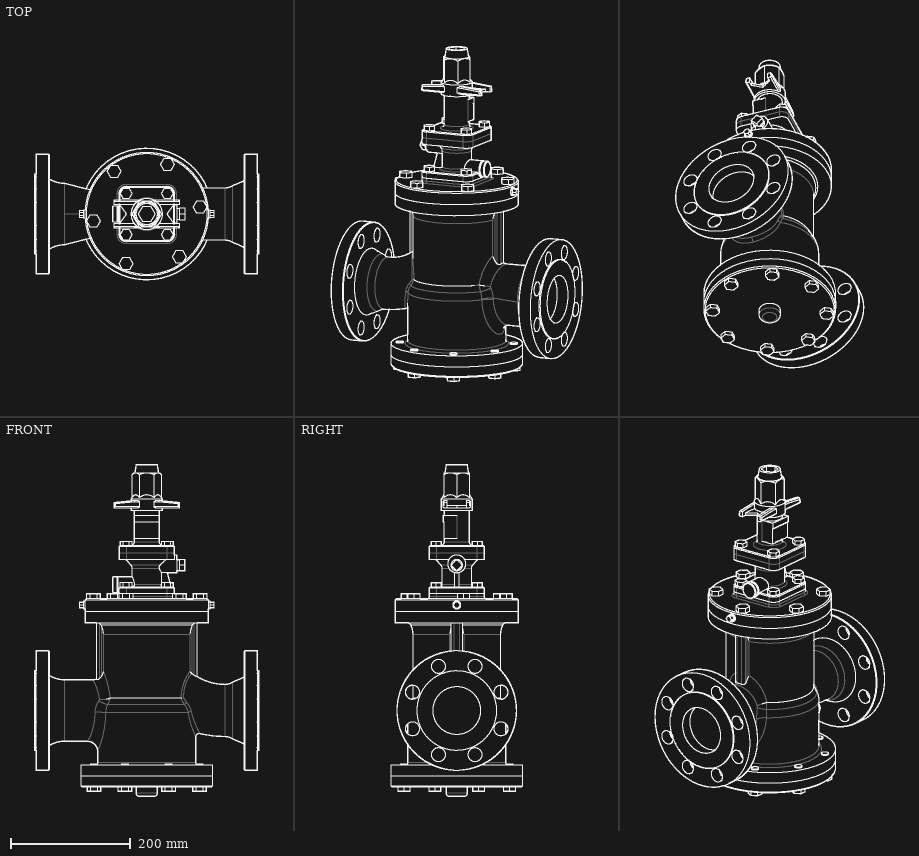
import cadquery as cq
import math

total_height = 554.0
port_span = 374.0
port_height = 143.5

cover_bottom = 15.5
bottom_joint = 34.0
bottom_flange_top = 52.5
top_flange_bottom = 290.0
top_joint = 308.5
top_cover_top = 330.0
pilot_joint = 338.5
pilot_base_top = 349.5

bottom_flange_radius = 220.0 / 2
top_flange_radius = 206.0 / 2
lower_barrel_radius = 82.0
upper_barrel_radius = 147.0 / 2
flange_chamfer = 2.0
barrel_foot_fillet = 4.5

port_flange_radius = 200.0 / 2
port_flange_thickness = 22.0
raised_face_radius = 66.5
raised_face_height = 2.0
port_bore_radius = 80.0 / 2
port_bore_depth = 20.0
port_bolt_circle_radius = 80.0
port_bolt_hole = 23.0
port_bolt_count = 8
port_chamfer = 1.0
inlet_seam_fillet = 16.5
outlet_seam_fillet = 5.5
flange_back = port_span / 2 - raised_face_height - port_flange_thickness

large_hex = 23.0
small_hex = 20.0
large_head_height = 8.5
small_head_height = 7.0
bottom_bolt_count = 8
bottom_bolt_circle_radius = 95.5
bottom_head_height = 7.0
stud_diameter = 12.0
stud_projection = 1.5
top_bolt_count = 6
top_bolt_circle_radius = 90.0
top_bolt_start_angle = 7.4

square_side = 92.5
square_corner = 12.0
square_edge_chamfer = 1.5
square_bolt_offset = 34.5
pad_foot_fillet = 3.5
column_radius = 49.5 / 2
column_foot_fillet = 4.0
neck_bottom = 380.5
neck_cone_start = (27.0, 386.5)
neck_top_radius = 35.0
collar_bottom = 395.5
collar_joint = 406.5
collar_top = 419.0
housing_radius = 42.0 / 2
housing_foot_radius = 55.0 / 2
ring_radius = 52.0 / 2
ring_bottom = 477.0
ring_top = 497.0
cap_hex = 49.5


def revolved(profile):
    """Revolve a closed (radius, height) outline about the Z axis."""
    return profile.close().revolve(360, (0, 0, 0), (0, 1, 0))


def disc(radius, bottom, top):
    return cq.Workplane("XY").workplane(offset=bottom).circle(radius).extrude(top - bottom)


def hex_prism(corners, bottom, height):
    return cq.Workplane("XY").workplane(offset=bottom).polygon(6, corners).extrude(height)


def circle_points(count, radius, start_angle):
    """Points evenly spaced on a circle."""
    angles = [math.radians(start_angle + 360 * i / count) for i in range(count)]
    return [(radius * math.cos(a), radius * math.sin(a)) for a in angles]


def add_hex_heads(body, points, corners, bottom, height):
    for x, y in points:
        body = body.union(hex_prism(corners, bottom, height).translate((x, y, 0)))
    return body


def square_plate(bottom, top):
    plate = cq.Workplane("XY").workplane(offset=bottom).rect(square_side, square_side)
    return plate.extrude(top - bottom).edges("|Z").fillet(square_corner)


def x_cylinder(radius, start, end, height):
    """Cylinder along X between two X positions."""
    plane = cq.Workplane("YZ", origin=(start, 0, height))
    return plane.circle(radius).extrude(end - start)


def tangent_arc_radius(run, rise):
    """Radius of the arc that leaves a straight line and rises sideways over a run."""
    return (run**2 + rise**2) / (2 * rise)


bottom_bolt_points = circle_points(
    bottom_bolt_count, bottom_bolt_circle_radius, 180 / bottom_bolt_count
)
square_bolt_points = [
    (sx * square_bolt_offset, sy * square_bolt_offset) for sx in (-1, 1) for sy in (-1, 1)
]


def make_bottom_cover():
    plug_radius = 18.0
    plug_fillet = 5.5

    cover = disc(bottom_flange_radius, cover_bottom, bottom_joint)
    cover = cover.faces("<Z").chamfer(flange_chamfer)
    plug = disc(plug_radius, 0, cover_bottom).faces("<Z").edges().fillet(plug_fillet)
    cover = cover.union(plug)
    head_bottom = cover_bottom - bottom_head_height
    return add_hex_heads(cover, bottom_bolt_points, large_hex, head_bottom, bottom_head_height)


def make_barrel():
    shoulder_bottom = 140.0
    shoulder_middle = (78.0, 153.5)
    shoulder_top = 164.0
    flare_bottom = 270.5
    flare_top = (77.0, 286.5)
    flare_root_radius = 80.5

    foot_top = bottom_flange_top + barrel_foot_fillet
    outline = (
        cq.Workplane("XZ")
        .moveTo(0, bottom_joint)
        .lineTo(bottom_flange_radius, bottom_joint)
        .lineTo(bottom_flange_radius, bottom_flange_top)
        .lineTo(lower_barrel_radius + barrel_foot_fillet, bottom_flange_top)
        .radiusArc((lower_barrel_radius, foot_top), barrel_foot_fillet)
        .lineTo(lower_barrel_radius, shoulder_bottom)
        .tangentArcPoint(shoulder_middle, relative=False)
        .tangentArcPoint((upper_barrel_radius, shoulder_top), relative=False)
        .lineTo(upper_barrel_radius, flare_bottom)
        .tangentArcPoint(flare_top, relative=False)
        .lineTo(flare_root_radius, top_flange_bottom)
        .lineTo(top_flange_radius, top_flange_bottom)
        .lineTo(top_flange_radius, top_joint)
        .lineTo(0, top_joint)
    )
    return revolved(outline)


def make_side_ribs():
    """Vertical ribs on the barrel, above both ports."""
    rib_reach = 84.0
    rib_width = 19.5
    rib_bottom = 183.0
    rib_edge_fillet = 5.0
    rib_root_fillet = 3.0

    height = top_flange_bottom - rib_bottom
    ribs = cq.Workplane("XY").workplane(offset=rib_bottom).rect(2 * rib_reach, rib_width)
    ribs = ribs.extrude(height).edges("|Z").fillet(rib_edge_fillet)
    ribbed_barrel = disc(upper_barrel_radius, rib_bottom, top_flange_bottom).union(ribs)
    for side in (-1, 1):
        root = cq.selectors.BoxSelector(
            (side * (upper_barrel_radius - rib_root_fillet), -rib_width, rib_bottom),
            (side * upper_barrel_radius, rib_width, top_flange_bottom),
        )
        ribbed_barrel = ribbed_barrel.edges("|Z").edges(root).fillet(rib_root_fillet)
    return ribbed_barrel


def make_inlet_neck():
    """Neck on the -X side: round at the flange, narrowing to an oval at the barrel."""
    root_radius = 59.0
    round_radius = 51.5
    round_x = 137.5
    inner_x = 55.5
    inner_half_width = 30.5

    flare_radius = tangent_arc_radius(flange_back - round_x, root_radius - round_radius)
    collar = (
        cq.Workplane("XZ", origin=(0, 0, port_height))
        .moveTo(-round_x, 0)
        .lineTo(-round_x, round_radius)
        .radiusArc((-flange_back, root_radius), flare_radius)
        .lineTo(-flange_back, 0)
        .close()
        .revolve(360, (0, 0, 0), (1, 0, 0))
    )
    neck = (
        cq.Workplane("YZ", origin=(-round_x, 0, port_height))
        .ellipse(round_radius, round_radius)
        .workplane(offset=round_x - inner_x)
        .ellipse(inner_half_width, round_radius)
        .loft(ruled=True)
    )
    return collar.union(neck)


def make_outlet_neck():
    """Neck on the +X side: an elbow that climbs into the barrel from the flange."""
    pipe_radius = 44.0
    bend_radius = 133.0
    bend_angle = 48.0
    bend_x = 131.0
    cone_start = (143.5, 47.5)
    root_radius = 56.0

    flare_radius = tangent_arc_radius(cone_start[0] - bend_x, cone_start[1] - pipe_radius)
    collar = (
        cq.Workplane("XZ", origin=(0, 0, port_height))
        .moveTo(bend_x, 0)
        .lineTo(bend_x, pipe_radius)
        .radiusArc(cone_start, -flare_radius)
        .lineTo(flange_back, root_radius)
        .lineTo(flange_back, 0)
        .close()
        .revolve(360, (0, 0, 0), (1, 0, 0))
    )
    elbow = (
        cq.Workplane("YZ", origin=(bend_x, 0, port_height))
        .circle(pipe_radius)
        .revolve(bend_angle, (0, bend_radius, 0), (1, bend_radius, 0))
    )
    return collar.union(elbow)


def neck_seam(side):
    """Selects the edges where the neck on one side (-1 or +1 along X) meets the barrel."""
    half_width = 61.0
    lowest = 77.5
    highest = 232.5
    nearest = 33.0
    farthest = 88.5

    return cq.selectors.BoxSelector(
        (side * nearest, -half_width, lowest),
        (side * farthest, half_width, highest),
        boundingbox=True,
    )


def make_port_flange():
    """Flange of the +X port."""
    face_x = port_span / 2 - raised_face_height
    flange = x_cylinder(port_flange_radius, flange_back, face_x, port_height)
    flange = flange.faces("<X").chamfer(port_chamfer)
    return flange.union(x_cylinder(raised_face_radius, face_x, port_span / 2, port_height))


def cut_port_holes(body, side):
    """Bolt holes and bore of the port on one side (-1 or +1 along X)."""
    inner_x = side * flange_back
    outer_x = side * port_span / 2
    for y, z in circle_points(port_bolt_count, port_bolt_circle_radius, 180 / port_bolt_count):
        hole = x_cylinder(port_bolt_hole / 2, inner_x, outer_x, port_height + z)
        body = body.cut(hole.translate((0, y, 0)))
    bore_end = side * (port_span / 2 - port_bore_depth)
    return body.cut(x_cylinder(port_bore_radius, bore_end, outer_x, port_height))


def make_main_body():
    body = make_barrel()
    body = body.union(make_inlet_neck()).edges(neck_seam(-1)).fillet(inlet_seam_fillet)
    body = body.union(make_outlet_neck()).edges(neck_seam(1)).fillet(outlet_seam_fillet)
    body = body.union(make_side_ribs())

    outlet_flange = make_port_flange()
    body = body.union(outlet_flange).union(outlet_flange.mirror("YZ"))
    for side in (-1, 1):
        body = cut_port_holes(body, side)

    for x, y in bottom_bolt_points:
        stud = disc(stud_diameter / 2, bottom_flange_top, bottom_flange_top + stud_projection)
        body = body.union(stud.translate((x, y, 0)))
    return body


def make_side_screw():
    """Small hex screw on the +X rim of the top cover."""
    screw_height = 319.5
    embedded_length = 5.5
    washer_radius = 6.5
    washer_end = 105.0
    head_end = 112.5
    head_corners = 11.0

    washer = x_cylinder(washer_radius, top_flange_radius - embedded_length, washer_end, screw_height)
    head = cq.Workplane("YZ", origin=(washer_end, 0, screw_height)).polygon(6, head_corners)
    return washer.union(head.extrude(head_end - washer_end))


def make_top_cover():
    cover = disc(top_flange_radius, top_joint, top_cover_top).faces(">Z").chamfer(flange_chamfer)
    cover = cover.union(square_plate(top_cover_top, pilot_joint))
    pad_foot = cq.selectors.BoxSelector(
        (-square_side, -square_side, top_cover_top - pad_foot_fillet),
        (square_side, square_side, top_cover_top + pad_foot_fillet),
        boundingbox=True,
    )
    cover = cover.edges(pad_foot).fillet(pad_foot_fillet)
    points = circle_points(top_bolt_count, top_bolt_circle_radius, top_bolt_start_angle)
    cover = add_hex_heads(cover, points, large_hex, top_cover_top, large_head_height)
    screw = make_side_screw()
    return cover.union(screw).union(screw.mirror("YZ"))


def make_pilot_column():
    foot_top = pilot_base_top + column_foot_fillet
    outline = (
        cq.Workplane("XZ")
        .moveTo(0, pilot_joint)
        .lineTo(column_radius + column_foot_fillet, pilot_joint)
        .lineTo(column_radius + column_foot_fillet, pilot_base_top)
        .radiusArc((column_radius, foot_top), column_foot_fillet)
        .lineTo(column_radius, neck_bottom)
        .tangentArcPoint(neck_cone_start, relative=False)
        .lineTo(neck_top_radius, collar_bottom)
        .lineTo(0, collar_bottom)
    )
    base = square_plate(pilot_joint, pilot_base_top).faces(">Z").chamfer(square_edge_chamfer)
    column = base.union(revolved(outline))
    column = column.union(square_plate(collar_bottom, collar_joint))
    return add_hex_heads(column, square_bolt_points, small_hex, pilot_base_top, small_head_height)


def make_pressure_tap():
    """Plugged boss on the +X side of the column, with a web below it."""
    boss_radius = 30.0 / 2
    boss_height = 388.5
    boss_end = 50.5
    collar_radius = 9.5
    plug_height = 386.0
    plug_start = 54.5
    plug_end = 63.5
    plug_diagonal = 19.5
    web_width = 8.5
    web_top_x = 30.5
    web_bottom_x = 41.0

    boss = x_cylinder(boss_radius, 0, boss_end, boss_height)
    collar = x_cylinder(collar_radius, boss_end, plug_start, plug_height)
    plug = cq.Workplane("YZ", origin=(plug_start, 0, plug_height)).polygon(4, plug_diagonal)
    web = (
        cq.Workplane("XZ")
        .polyline(
            [
                (0, pilot_base_top),
                (web_bottom_x, pilot_base_top),
                (web_top_x, boss_height),
                (0, boss_height),
            ]
        )
        .close()
        .extrude(web_width / 2, both=True)
    )
    return boss.union(collar).union(plug.extrude(plug_end - plug_start)).union(web)


def make_drain_tap():
    """Boss on the -X side of the column, closed by a round plug."""
    tap_height = 353.5
    tap_radius = 27.0 / 2
    boss_end = 47.5
    plug_end = 57.0
    plug_chamfer = 1.0
    groove_radius = 12.0
    groove_width = 1.0

    groove_end = boss_end + groove_width
    boss = x_cylinder(tap_radius, 0, -boss_end, tap_height)
    groove = x_cylinder(groove_radius, -boss_end, -groove_end, tap_height)
    plug = x_cylinder(tap_radius, -groove_end, -plug_end, tap_height).edges().chamfer(plug_chamfer)
    return boss.union(groove).union(plug)


def make_spring_housing():
    """Square flange and cylinder that carry the adjusting ring."""
    foot_fillet = housing_foot_radius - housing_radius
    outline = (
        cq.Workplane("XZ")
        .moveTo(0, collar_joint)
        .lineTo(housing_foot_radius, collar_joint)
        .lineTo(housing_foot_radius, collar_top)
        .radiusArc((housing_radius, collar_top + foot_fillet), foot_fillet)
        .lineTo(housing_radius, ring_bottom)
        .lineTo(0, ring_bottom)
    )
    flange = square_plate(collar_joint, collar_top).faces(">Z").chamfer(square_edge_chamfer)
    housing = flange.union(revolved(outline))
    return add_hex_heads(housing, square_bolt_points, small_hex, collar_top, small_head_height)


def make_name_block():
    """Square block on the -Y side of the housing, with a thicker band on top."""
    block_depth = 21.5
    block_bottom = 431.0
    band_depth = 22.5
    band_bottom = 458.0
    band_top = 468.5
    width = 2 * housing_radius

    block = cq.Workplane("XY").box(
        width, block_depth, band_bottom - block_bottom, centered=(True, False, False)
    )
    band = cq.Workplane("XY").box(
        width, band_depth, band_top - band_bottom, centered=(True, False, False)
    )
    block = block.translate((0, -block_depth, block_bottom))
    return block.union(band.translate((0, -band_depth, band_bottom)))


def make_handle():
    """Adjusting ring with two notched wings, each stiffened by a pair of tapered arms."""
    wing_bottom = 481.5
    wing_top = 486.0
    wing_reach = 54.5
    wing_chamfer = 2.0
    notch_x = 34.0
    shoulder_x = 45.5
    arm_inner_y = 16.0
    arm_outer_y = 23.0
    arm_tip_top = 491.0
    arm_chamfer = 2.0
    arm_root_x = 20.0
    arm_root_top = 494.0

    handle = disc(ring_radius, ring_bottom, ring_top)
    wing = (
        cq.Workplane("XY")
        .workplane(offset=wing_bottom)
        .polyline(
            [
                (0, -arm_outer_y),
                (wing_reach, -arm_outer_y),
                (wing_reach, -arm_inner_y),
                (shoulder_x, -arm_inner_y),
                (notch_x, 0),
                (shoulder_x, arm_inner_y),
                (wing_reach, arm_inner_y),
                (wing_reach, arm_outer_y),
                (0, arm_outer_y),
            ]
        )
        .close()
        .extrude(wing_top - wing_bottom)
        .edges("(<Y or >Y) and <Z")
        .chamfer(wing_chamfer)
    )
    arm = (
        cq.Workplane("XZ", origin=(0, -arm_inner_y, 0))
        .polyline(
            [
                (0, wing_top),
                (wing_reach, wing_top),
                (wing_reach, arm_tip_top),
                (arm_root_x, arm_root_top),
                (0, arm_root_top),
            ]
        )
        .close()
        .extrude(arm_outer_y - arm_inner_y)
        .faces("<Y")
        .edges("not(<Z)")
        .chamfer(arm_chamfer)
    )
    wing = wing.union(arm).union(arm.mirror("XZ"))
    return handle.union(wing).union(wing.mirror("YZ"))


def make_cap():
    """Hexagonal cap with a conical skirt, a tapered nose and a hex socket."""
    skirt_top = 504.0
    skirt_top_radius = 21.0
    hex_top = 540.0
    hex_chamfer_drop = 3.0
    nose_root_radius = 20.0
    nose_tip_radius = 18.0
    socket_hex = 28.0
    socket_depth = 11.0

    flat_radius = cap_hex / 2 * math.cos(math.pi / 6)
    envelope = revolved(
        cq.Workplane("XZ")
        .moveTo(0, ring_top)
        .lineTo(cap_hex / 2, ring_top)
        .lineTo(cap_hex / 2, hex_top - hex_chamfer_drop)
        .lineTo(flat_radius, hex_top)
        .lineTo(0, hex_top)
    )
    hexagon = hex_prism(cap_hex, ring_top, hex_top - ring_top).intersect(envelope)
    skirt = revolved(
        cq.Workplane("XZ")
        .moveTo(0, ring_top)
        .lineTo(ring_radius, ring_top)
        .lineTo(skirt_top_radius, skirt_top)
        .lineTo(0, skirt_top)
    )
    nose = revolved(
        cq.Workplane("XZ")
        .moveTo(0, hex_top)
        .lineTo(nose_root_radius, hex_top)
        .lineTo(nose_tip_radius, total_height)
        .lineTo(0, total_height)
    )
    socket = hex_prism(socket_hex, total_height - socket_depth, socket_depth)
    return hexagon.union(skirt).union(nose).cut(socket)


def make_pilot_valve():
    pilot = make_pilot_column().union(make_pressure_tap()).union(make_drain_tap())
    pilot = pilot.union(make_spring_housing(), clean=False)
    for feature in (make_name_block(), make_handle(), make_cap()):
        pilot = pilot.union(feature, clean=False)
    return pilot


bottom_cover = make_bottom_cover()
main_body = make_main_body()
top_cover = make_top_cover()
pilot_valve = make_pilot_valve()

bodies = (bottom_cover, main_body, top_cover, pilot_valve)
result = cq.Compound.makeCompound([body.solids().val() for body in bodies])